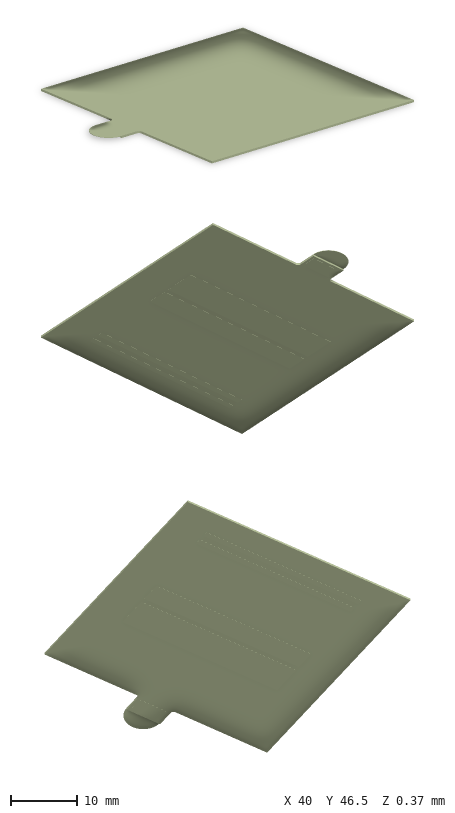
import cadquery as cq

side = 40.0
total_thickness = 0.37
sheet_thickness = 0.35
band_height = total_thickness - sheet_thickness

tab_width = 6.0
tab_radius = tab_width / 2
tab_length = 6.5
neck_length = tab_length - tab_radius
tip_thickness = 0.07
root_fillet = 0.5

edge_y = -side / 2
neck_end_y = edge_y - neck_length

sheet_band_x = (-13.8, 14.0)
sheet_bands_y = [(15.0, 15.9), (13.0, 14.0), (-1.5, 1.9), (-7.6, -2.3)]
neck_band_x = (-2.5, 2.5)
neck_band_y = (-23.0, -20.6)


def make_sheet():
    """Square sheet with the tab neck, blended into the edge at its roots."""
    square = cq.Workplane("XY").rect(side, side).extrude(sheet_thickness)
    neck = (
        cq.Workplane("XY")
        .center(0, (edge_y + neck_end_y) / 2)
        .rect(tab_width, neck_length)
        .extrude(sheet_thickness)
    )
    roots = cq.selectors.BoxSelector(
        (-tab_width, edge_y - root_fillet / 2, -sheet_thickness),
        (tab_width, edge_y + root_fillet / 2, 2 * sheet_thickness),
    )
    return square.union(neck).edges("|Z").edges(roots).fillet(root_fillet)


def make_tip():
    """Half disc at the end of the neck, flush with the top face."""
    return (
        cq.Workplane("XY")
        .workplane(offset=sheet_thickness - tip_thickness)
        .moveTo(-tab_radius, neck_end_y)
        .threePointArc((0, neck_end_y - tab_radius), (tab_radius, neck_end_y))
        .close()
        .extrude(tip_thickness)
    )


def make_band(x_limits, y_limits):
    """Rectangular band standing down from the underside, at Z = 0."""
    x_low, x_high = x_limits
    y_low, y_high = y_limits
    return (
        cq.Workplane("XY")
        .center((x_low + x_high) / 2, (y_low + y_high) / 2)
        .rect(x_high - x_low, y_high - y_low)
        .extrude(-band_height)
    )


result = make_sheet().union(make_tip())
for band_y in sheet_bands_y:
    result = result.union(make_band(sheet_band_x, band_y))
result = result.union(make_band(neck_band_x, neck_band_y))